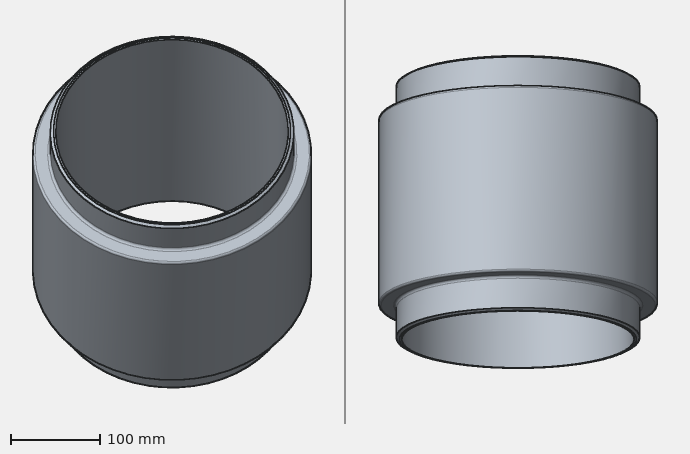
import cadquery as cq
import math

total_height = 295.0
body_radius = 156.5
spigot_radius = 136.8
bore_radius = 130.5

spigot_length = 39.8
body_height = total_height - 2 * spigot_length

body_edge_radius = 2.5
root_fillet_radius = 3.0
tip_chamfer_radial = 3.8
tip_chamfer_axial = 2.2


def upright_cylinder(radius, height):
    """Solid cylinder along Z, centred on the origin."""
    return cq.Workplane("XY").workplane(offset=-height / 2).circle(radius).extrude(height)


def make_body():
    """Wide middle cylinder with rounded rims, centred on the origin."""
    body = upright_cylinder(body_radius, body_height)
    return body.edges("%CIRCLE").fillet(body_edge_radius)


def make_top_spigot():
    """Narrow end, run down to the mid-plane: flared root at the shoulder, tapered tip."""
    shoulder_z = body_height / 2
    tip_z = total_height / 2
    flare_radius = spigot_radius + root_fillet_radius
    flare_top_z = shoulder_z + root_fillet_radius
    arc_offset = root_fillet_radius * math.sqrt(0.5)
    half_section = (
        cq.Workplane("XZ")
        .lineTo(flare_radius, 0)
        .lineTo(flare_radius, shoulder_z)
        .threePointArc(
            (flare_radius - arc_offset, flare_top_z - arc_offset),
            (spigot_radius, flare_top_z),
        )
        .lineTo(spigot_radius, tip_z - tip_chamfer_axial)
        .lineTo(spigot_radius - tip_chamfer_radial, tip_z)
        .lineTo(0, tip_z)
        .close()
    )
    return half_section.revolve(360, (0, 0, 0), (0, 1, 0))


def make_bore():
    """Straight hole through the full height."""
    return upright_cylinder(bore_radius, total_height)


top_spigot = make_top_spigot()
bottom_spigot = top_spigot.mirror("XY")
result = make_body().union(top_spigot).union(bottom_spigot).cut(make_bore())